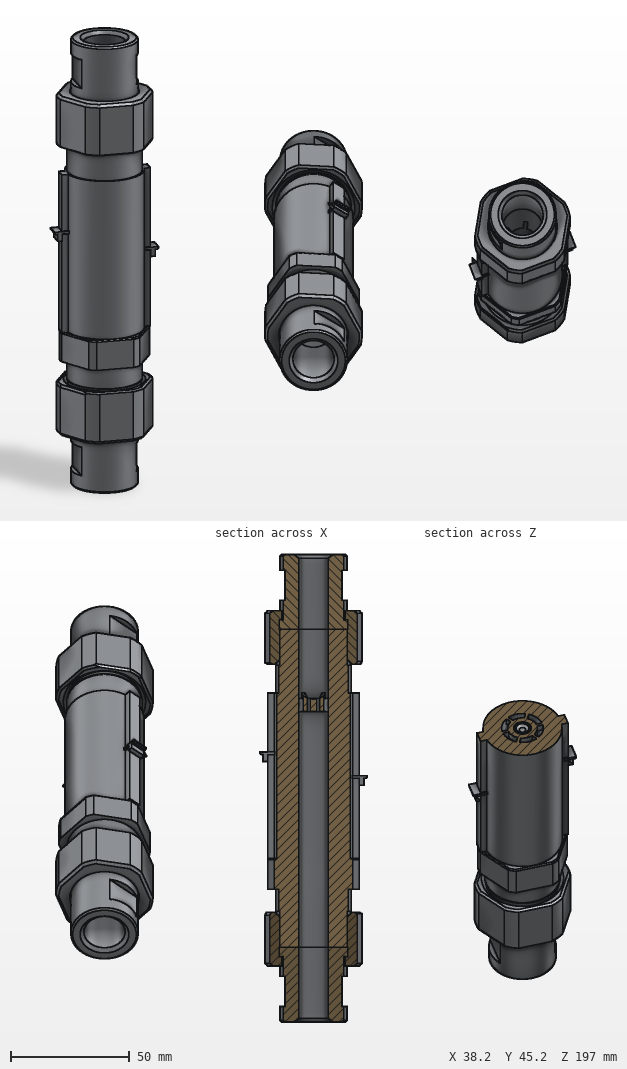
import cadquery as cq
import math

HALF_LENGTH = 98.5
BORE_R = 8.7
HEX_SIDES = 6

NUT_FLATS = 38.2
NUT_CORNER_R = 20.5
NUT_INNER_Z = 52.2
NUT_OUTER_Z = 74.8
NUT_WALL = 4.0
NUT_HOLE_R = 14.5
NUT_MOUTH_R = 17.3
NUT_OUTER_CHAMFER = 1.2
NUT_INNER_CHAMFER_HEIGHT = 0.5
NUT_INNER_CHAMFER_INSET = 1.2

PIPE_R = 14.2
PIPE_CHAMFER = 0.8
BORE_CHAMFER = 1.5
FLANGE_HEIGHT = 4.0
WRENCH_FLAT_Y = 12.0
WRENCH_FLAT_HEIGHT = 12.5
WRENCH_FLAT_INSET = 6.7

THREAD_R = 15.5
NECK_R = 16.0
NECK_GAP = 0.4
BARREL_R = 16.7
BARREL_TOP_Z = 40.2
COLLAR_TOP_Z = -29.5
COLLAR_BOTTOM_Z = -42.5
COLLAR_FLATS = 35.0
COLLAR_CORNER_R = 19.3
COLLAR_CHAMFER = 0.5
RIB_WIDTH = 5.5
RIB_Y = 19.3

SPOKE_COUNT = 6
SPOKE_WIDTH = 1.5
HUB_R = 6.3
FUNNEL_BOTTOM_R = 3.45
SPIDER_TOP_Z = 40.2
SPIDER_HEIGHT = 7.9
PIT_R = 1.4
PIT_RIM_R = 2.8
PIT_DEPTH = 1.0

TAB_WIDTH = 6.9
TAB_ROOT_Y = 15.7
TAB_TIP_Y = 22.6
TAB_CHAMFER = 0.5
TAB_THICKNESS = 1.2
BLOCK_Y = 21.3
BLOCK_HEIGHT = 3.0
FRONT_TAB_Z = 15.4
BACK_TAB_Z = 5.3
POINTER_LENGTH = 2.5
POINTER_TIP_DROP = 0.4

FLANGE_OUTER_Z = NUT_OUTER_Z - NUT_WALL
THREAD_END_Z = FLANGE_OUTER_Z - FLANGE_HEIGHT
NECK_END_Z = NUT_INNER_Z - NECK_GAP


def cylinder(radius, z_low, z_high):
    return cq.Workplane("XY").workplane(offset=z_low).circle(radius).extrude(z_high - z_low)


def block_between(width, y_low, y_high, z_low, z_high):
    """Box centred on the YZ plane."""
    box = cq.Workplane("XY").box(width, y_high - y_low, z_high - z_low)
    return box.translate((0, (y_low + y_high) / 2, (z_low + z_high) / 2))


def rounded_hexagon(flats, corner_r, z_low, z_high):
    """Hexagonal prism with two flats facing +/-X and its corners turned to corner_r."""
    corner_to_corner = flats / math.cos(math.pi / HEX_SIDES)
    hexagon = (
        cq.Workplane("XY")
        .workplane(offset=z_low)
        .polygon(HEX_SIDES, corner_to_corner)
        .extrude(z_high - z_low)
        .rotate((0, 0, 0), (0, 0, 1), 180 / HEX_SIDES)
    )
    return hexagon.intersect(cylinder(corner_r, z_low, z_high))


def upper_nut():
    """Union nut, chamfered outside, with a countersunk thread and a wall that holds the flange."""
    nut = rounded_hexagon(NUT_FLATS, NUT_CORNER_R, NUT_INNER_Z, NUT_OUTER_Z)
    nut = nut.faces(">Z").chamfer(NUT_OUTER_CHAMFER)
    nut = nut.faces("<Z").chamfer(NUT_INNER_CHAMFER_INSET, NUT_INNER_CHAMFER_HEIGHT)
    nut = nut.cut(cylinder(NUT_HOLE_R, NUT_INNER_Z, NUT_OUTER_Z))
    nut = nut.cut(cylinder(THREAD_R, NUT_INNER_Z, FLANGE_OUTER_Z))
    thread_edge = nut.faces("<Z").edges("%CIRCLE").edges(cq.selectors.RadiusNthSelector(0))
    return thread_edge.chamfer(NUT_MOUTH_R - THREAD_R)


def upper_pipe_end():
    """Bored pipe with a flange at its inner end and two wrench flats facing +/-Y."""
    pipe = cylinder(PIPE_R, THREAD_END_Z, HALF_LENGTH).faces(">Z").chamfer(PIPE_CHAMFER)
    pipe = pipe.union(cylinder(THREAD_R, THREAD_END_Z, FLANGE_OUTER_Z))
    bore = cylinder(BORE_R, THREAD_END_Z, HALF_LENGTH)
    pipe = pipe.cut(bore).faces(">Z").edges("%CIRCLE").edges(cq.selectors.RadiusNthSelector(0))
    pipe = pipe.chamfer(BORE_CHAMFER)
    flat_z = HALF_LENGTH - WRENCH_FLAT_INSET - WRENCH_FLAT_HEIGHT / 2
    notch = cq.Workplane("XY").box(2 * PIPE_R, PIPE_R, WRENCH_FLAT_HEIGHT)
    for side in (-1, 1):
        pipe = pipe.cut(notch.translate((0, side * (WRENCH_FLAT_Y + PIPE_R / 2), flat_z)))
    return pipe


def lower_copy(part):
    """The same part turned end for end about the X axis."""
    return part.rotate((0, 0, 0), (1, 0, 0), 180)


def spider():
    """Disc across the bore with a funnel on top, a pit in its middle and windows around the hub."""
    funnel_z = SPIDER_TOP_Z - (BORE_R - FUNNEL_BOTTOM_R)
    pit_z = funnel_z - PIT_DEPTH
    bottom_z = SPIDER_TOP_Z - SPIDER_HEIGHT
    half_section = (
        cq.Workplane("XZ")
        .moveTo(0, bottom_z)
        .lineTo(BORE_R, bottom_z)
        .lineTo(BORE_R, SPIDER_TOP_Z)
        .lineTo(FUNNEL_BOTTOM_R, funnel_z)
        .lineTo(PIT_RIM_R, funnel_z)
        .lineTo(PIT_R, pit_z)
        .lineTo(0, pit_z)
        .close()
    )
    disc = half_section.revolve(360, (0, 0, 0), (0, 1, 0))
    windows = cylinder(BORE_R, bottom_z, SPIDER_TOP_Z).cut(cylinder(HUB_R, bottom_z, SPIDER_TOP_Z))
    spoke_pair = block_between(SPOKE_WIDTH, -BORE_R, BORE_R, bottom_z, SPIDER_TOP_Z)
    for index in range(SPOKE_COUNT // 2):
        windows = windows.cut(spoke_pair.rotate((0, 0, 0), (0, 0, 1), index * 360 / SPOKE_COUNT))
    return disc.cut(windows)


def pointer(top_z, bottom_z):
    """Wedge on the -X side of a tab, tapering to its tip both in height and in thickness."""
    side_x = -TAB_WIDTH / 2
    tip_x = side_x - POINTER_LENGTH
    side_profile = (
        cq.Workplane("XZ")
        .polyline([(side_x, top_z), (tip_x, top_z - POINTER_TIP_DROP), (side_x, bottom_z)])
        .close()
        .extrude(-BLOCK_Y)
    )
    plan_profile = (
        cq.Workplane("XY")
        .workplane(offset=bottom_z)
        .polyline([(side_x, RIB_Y), (tip_x, (RIB_Y + BLOCK_Y) / 2), (side_x, BLOCK_Y)])
        .close()
        .extrude(top_z - bottom_z)
    )
    return side_profile.intersect(plan_profile)


def back_tab(top_z):
    """Index tab on the +Y rib: a plate, a block below it and a pointer toward -X."""
    block_top = top_z - TAB_THICKNESS
    block_bottom = block_top - BLOCK_HEIGHT
    plate = block_between(TAB_WIDTH, TAB_ROOT_Y, TAB_TIP_Y, block_top, top_z)
    plate = plate.faces(">Y").edges("<Z").chamfer(TAB_CHAMFER)
    block = block_between(TAB_WIDTH, RIB_Y, BLOCK_Y, block_bottom, block_top)
    return plate.union(block).union(pointer(block_top, block_bottom))


def valve_body():
    """Ribbed barrel with a hexagonal collar, necks, threaded ends, index tabs and the spider."""
    body = cylinder(THREAD_R, -THREAD_END_Z, THREAD_END_Z)
    body = body.union(cylinder(NECK_R, -NECK_END_Z, NECK_END_Z))
    body = body.union(cylinder(BARREL_R, COLLAR_TOP_Z, BARREL_TOP_Z))
    collar = rounded_hexagon(COLLAR_FLATS, COLLAR_CORNER_R, COLLAR_BOTTOM_Z, COLLAR_TOP_Z)
    body = body.union(collar.faces(">Z").chamfer(COLLAR_CHAMFER))
    body = body.union(block_between(RIB_WIDTH, -RIB_Y, RIB_Y, COLLAR_TOP_Z, BARREL_TOP_Z))
    body = body.union(back_tab(BACK_TAB_Z))
    body = body.union(back_tab(FRONT_TAB_Z).mirror("XZ"))
    body = body.cut(cylinder(BORE_R, -THREAD_END_Z, THREAD_END_Z))
    return body.union(spider())


body = valve_body()
nut = upper_nut()
pipe_end = upper_pipe_end()

result = cq.Compound.makeCompound(
    [
        body.val(),
        nut.val(),
        lower_copy(nut).val(),
        pipe_end.val(),
        lower_copy(pipe_end).val(),
    ]
)